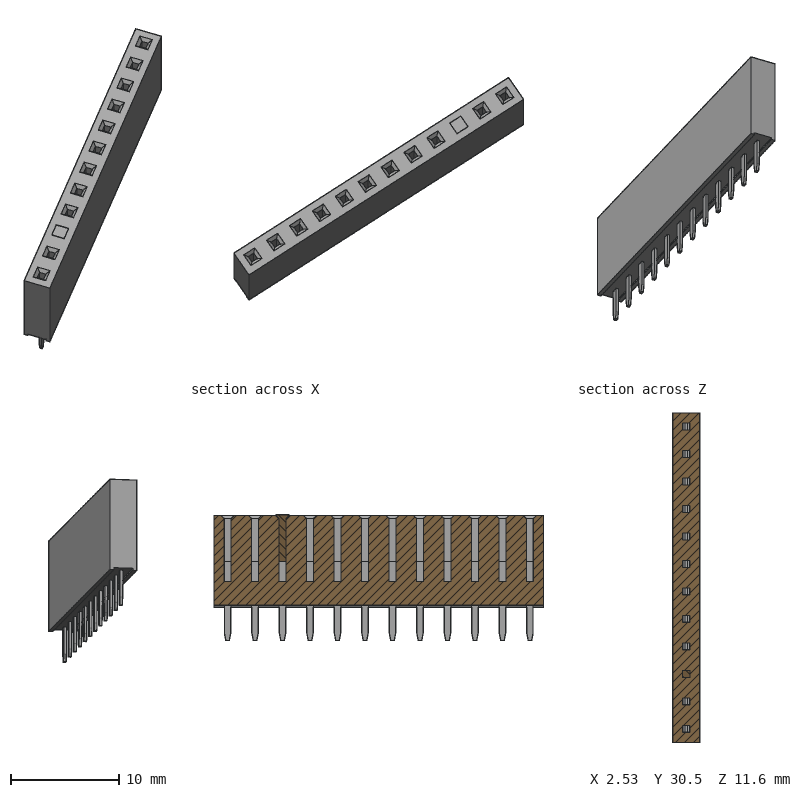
import cadquery as cq

contact_count = 12
housing_length = 30.48
pitch = housing_length / contact_count
housing_width = 2.53
housing_height = 8.5
channel_width = 1.77
channel_height = 0.18

mouth_size = 1.22
throat_size = 0.6
funnel_depth = 0.3
cavity_depth = 6.1

pin_thickness = 0.25
pin_width = throat_size
pin_tip_width = 0.35
pin_taper_length = 0.7
pin_tail_length = 3.08
pin_rise = 1.83

plug_position = 2
plug_head_height = 0.05

cavity_floor = housing_height - cavity_depth
pin_top = cavity_floor + pin_rise
funnel_bottom = housing_height - funnel_depth


def contact_y(position):
    """Y of a contact, numbered from 0 at the -Y end."""
    return (position + 0.5) * pitch - housing_length / 2


def make_cavity(position, well_bottom):
    """Space of one cavity: tapered mouth above a straight well that ends at well_bottom."""
    y = contact_y(position)
    funnel = (
        cq.Workplane("XY", origin=(0, y, funnel_bottom))
        .rect(throat_size, throat_size)
        .workplane(offset=funnel_depth)
        .rect(mouth_size, mouth_size)
        .loft(ruled=True)
    )
    well = (
        cq.Workplane("XY", origin=(0, y, well_bottom))
        .rect(throat_size, throat_size)
        .extrude(funnel_bottom - well_bottom)
    )
    return funnel.union(well)


def make_pin(position):
    """Flat blade from inside the cavity down to a tapered tail tip."""
    tip_z = -pin_tail_length
    right_side = [
        (pin_tip_width / 2, tip_z),
        (pin_width / 2, tip_z + pin_taper_length),
        (pin_width / 2, pin_top),
    ]
    left_side = [(-y, z) for y, z in reversed(right_side)]
    return (
        cq.Workplane("YZ", origin=(0, contact_y(position), 0))
        .polyline(right_side + left_side)
        .close()
        .extrude(pin_thickness / 2, both=True)
    )


def make_housing():
    """Strip with an underside channel, cavities and the moulded-in pins."""
    body = cq.Workplane("XY").box(
        housing_width, housing_length, housing_height, centered=(True, True, False)
    )
    channel = cq.Workplane("XY").box(
        channel_width, housing_length, channel_height, centered=(True, True, False)
    )
    body = body.cut(channel)
    for position in range(contact_count):
        body = body.cut(make_cavity(position, cavity_floor))
        body = body.union(make_pin(position))
    return body


def make_plug():
    """Key that fills one cavity down to its pin, with a low square head on top."""
    head = (
        cq.Workplane("XY", origin=(0, contact_y(plug_position), housing_height))
        .rect(mouth_size, mouth_size)
        .extrude(plug_head_height)
    )
    return make_cavity(plug_position, pin_top).union(head)


housing = make_housing()
plug = make_plug()

result = cq.Compound.makeCompound([housing.val(), plug.val()])